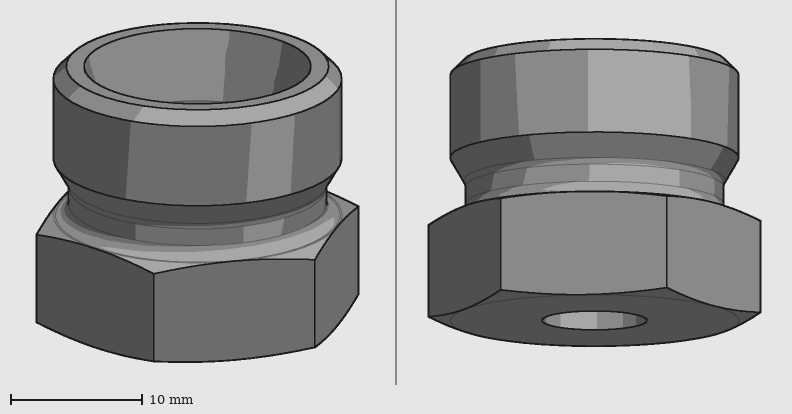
import cadquery as cq
import math

total_height = 20.0

hex_sides = 6
hex_across_flats = 22.0
hex_height = 8.0
hex_chamfer_angle = 15.0

collar_diameter = 22.0
collar_chamfer = 1.0
neck_diameter = 19.7
neck_fillet = 1.0
relief_foot_z = 10.6
relief_angle = 30.0

seat_diameter = 15.0
seat_depth = 7.0
seat_straight_length = 1.6
seat_half_angle = 12.0
countersink_diameter = 12.0
countersink_half_angle = 60.0
through_diameter = 8.0

hex_across_corners = hex_across_flats / math.cos(math.pi / hex_sides)
collar_radius = collar_diameter / 2
neck_radius = neck_diameter / 2
seat_radius = seat_diameter / 2
countersink_radius = countersink_diameter / 2
through_radius = through_diameter / 2


def make_hexagon():
    """Hexagon with corners on +Y and -Y, its corners chamfered at both ends."""
    prism = (
        cq.Workplane("XY")
        .polygon(hex_sides, hex_across_corners)
        .extrude(hex_height)
        .rotate((0, 0, 0), (0, 0, 1), 90)
    )
    flat_radius = hex_across_flats / 2
    rim_radius = hex_across_corners
    rim_drop = (rim_radius - flat_radius) * math.tan(math.radians(hex_chamfer_angle))
    chamfer_envelope = (
        cq.Workplane("XZ")
        .moveTo(0, 0)
        .lineTo(flat_radius, 0)
        .lineTo(rim_radius, rim_drop)
        .lineTo(rim_radius, hex_height - rim_drop)
        .lineTo(flat_radius, hex_height)
        .lineTo(0, hex_height)
        .close()
        .revolve(360, (0, 0, 0), (0, 1, 0))
    )
    return prism.intersect(chamfer_envelope)


def make_neck_and_collar():
    """Turned section above the hexagon: filleted neck, relief cone and chamfered collar."""
    angle = math.radians(relief_angle)
    collar_bottom_z = relief_foot_z + (collar_radius - neck_radius) / math.tan(angle)
    tangent_length = neck_fillet * math.tan(angle / 2)
    blend_start_z = relief_foot_z - tangent_length
    blend_center_radius = neck_radius + neck_fillet

    def blend_point(turn):
        """Point on the blend arc after turning by the given angle from the neck."""
        radius = blend_center_radius - neck_fillet * math.cos(turn)
        return radius, blend_start_z + neck_fillet * math.sin(turn)

    fillet_diagonal = neck_fillet * math.sqrt(0.5)
    root_center_z = hex_height + neck_fillet
    root_middle = (blend_center_radius - fillet_diagonal, root_center_z - fillet_diagonal)
    return (
        cq.Workplane("XZ")
        .moveTo(0, hex_height)
        .lineTo(blend_center_radius, hex_height)
        .threePointArc(root_middle, (neck_radius, root_center_z))
        .lineTo(neck_radius, blend_start_z)
        .threePointArc(blend_point(angle / 2), blend_point(angle))
        .lineTo(collar_radius, collar_bottom_z)
        .lineTo(collar_radius, total_height - collar_chamfer)
        .lineTo(collar_radius - collar_chamfer, total_height)
        .lineTo(0, total_height)
        .close()
        .revolve(360, (0, 0, 0), (0, 1, 0))
    )


def make_bore():
    """Tapered mouth, straight seat, countersink and through hole, as one cutting body."""
    floor_z = total_height - seat_depth
    taper_bottom_z = floor_z + seat_straight_length
    taper_length = total_height - taper_bottom_z
    mouth_radius = seat_radius + taper_length * math.tan(math.radians(seat_half_angle))
    countersink_angle = math.radians(countersink_half_angle)
    countersink_depth = (countersink_radius - through_radius) / math.tan(countersink_angle)
    return (
        cq.Workplane("XZ")
        .moveTo(0, 0)
        .lineTo(through_radius, 0)
        .lineTo(through_radius, floor_z - countersink_depth)
        .lineTo(countersink_radius, floor_z)
        .lineTo(seat_radius, floor_z)
        .lineTo(seat_radius, taper_bottom_z)
        .lineTo(mouth_radius, total_height)
        .lineTo(0, total_height)
        .close()
        .revolve(360, (0, 0, 0), (0, 1, 0))
    )


result = make_hexagon().union(make_neck_and_collar()).cut(make_bore())